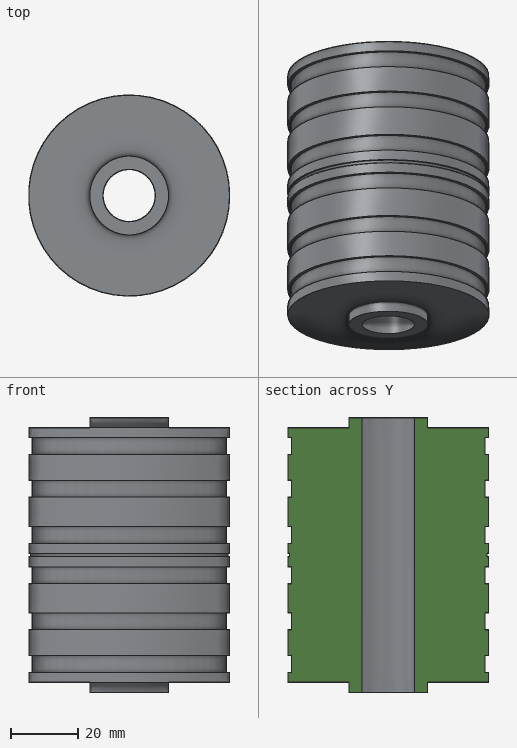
import cadquery as cq

body_diameter = 60.0
body_length = 76.0
hub_diameter = 23.5
hub_projection = 3.0
bore_diameter = 15.5
total_length = body_length + 2 * hub_projection

ring_groove_diameter = 58.0
ring_groove_width = 5.0
end_flange_width = 3.0
center_to_inner_groove = 3.5
center_to_middle_groove = 17.25
center_to_outer_groove = body_length / 2 - end_flange_width - ring_groove_width
ring_groove_starts = (center_to_inner_groove, center_to_middle_groove, center_to_outer_groove)

center_groove_diameter = 59.0
center_groove_width = 1.0

cutter_diameter = body_diameter + 2.0


def cylinder(diameter, length, z_center=0.0):
    """Solid cylinder on the Z axis, centred at z_center."""
    bottom = z_center - length / 2
    return cq.Workplane("XY").workplane(offset=bottom).circle(diameter / 2).extrude(length)


def groove_cutter(floor_diameter, width, z_center=0.0):
    """Ring whose removal leaves a groove with the given floor diameter."""
    return cylinder(cutter_diameter, width, z_center).cut(cylinder(floor_diameter, width, z_center))


result = cylinder(body_diameter, body_length).union(cylinder(hub_diameter, total_length))

for groove_start in ring_groove_starts:
    groove_center = groove_start + ring_groove_width / 2
    for z_center in (groove_center, -groove_center):
        result = result.cut(groove_cutter(ring_groove_diameter, ring_groove_width, z_center))

result = result.cut(groove_cutter(center_groove_diameter, center_groove_width))

result = result.cut(cylinder(bore_diameter, total_length))